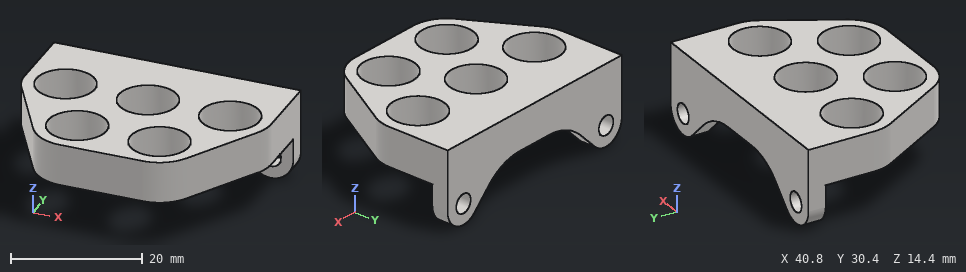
import cadquery as cq
import math

width = 40.8
depth = 30.4
height = 14.4

pitch = width / 3
row_spacing = pitch * math.sin(math.radians(60))
corner_radius = pitch / 2
front_row_y = corner_radius - depth
back_row_y = front_row_y + row_spacing
hole_diameter = 9.6
hole_centers = [(i * pitch, back_row_y) for i in (-1, 0, 1)]
hole_centers += [(i * pitch / 2, front_row_y) for i in (-1, 1)]

ear_radius = 3.7
ear_thickness = 3.1
ear_hole_diameter = 3.4
ear_blend_radius = 10.2
plate_thickness = height - 2 * ear_radius
ear_center_x = width / 2 - ear_radius
ear_center_z = -ear_radius


def polar(x, y, radius, degrees):
    """Point on a circle about (x, y)."""
    angle = math.radians(degrees)
    return x + radius * math.cos(angle), y + radius * math.sin(angle)


def make_plate():
    """Plate whose rounded corners are concentric with the outer holes."""
    side_x = width / 2
    outer_x = pitch
    inner_x = pitch / 2

    def back_corner(degrees):
        return polar(outer_x, back_row_y, corner_radius, degrees)

    def front_corner(degrees):
        return polar(inner_x, front_row_y, corner_radius, degrees)

    half = (
        cq.Workplane("XY")
        .moveTo(0, 0)
        .lineTo(side_x, 0)
        .lineTo(*back_corner(0))
        .threePointArc(back_corner(-15), back_corner(-30))
        .lineTo(*front_corner(-30))
        .threePointArc(front_corner(-60), front_corner(-90))
        .lineTo(0, -depth)
        .close()
        .extrude(plate_thickness)
    )
    plate = half.union(half.mirror("YZ"))
    holes = (
        cq.Workplane("XY")
        .pushPoints(hole_centers)
        .circle(hole_diameter / 2)
        .extrude(plate_thickness)
    )
    return plate.cut(holes)


def make_ear():
    """Right-hand ear: round tip, 45 degree flank and a blend into the plate."""
    def tip(degrees):
        return polar(ear_center_x, ear_center_z, ear_radius, degrees)

    flank_start = tip(225)
    flank_top_x = flank_start[0] + flank_start[1]
    blend_center_x = flank_top_x - ear_blend_radius * math.tan(math.radians(22.5))

    def blend(degrees):
        return polar(blend_center_x, -ear_blend_radius, ear_blend_radius, degrees)

    return (
        cq.Workplane("XZ")
        .moveTo(width / 2, plate_thickness)
        .lineTo(*tip(0))
        .threePointArc(tip(-67.5), flank_start)
        .lineTo(*blend(45))
        .threePointArc(blend(67.5), blend(90))
        .lineTo(blend_center_x, plate_thickness)
        .close()
        .extrude(ear_thickness)
        .cut(
            cq.Workplane("XZ")
            .center(ear_center_x, ear_center_z)
            .circle(ear_hole_diameter / 2)
            .extrude(ear_thickness)
        )
    )


right_ear = make_ear()
left_ear = right_ear.mirror("YZ")
result = make_plate().union(right_ear).union(left_ear).clean()